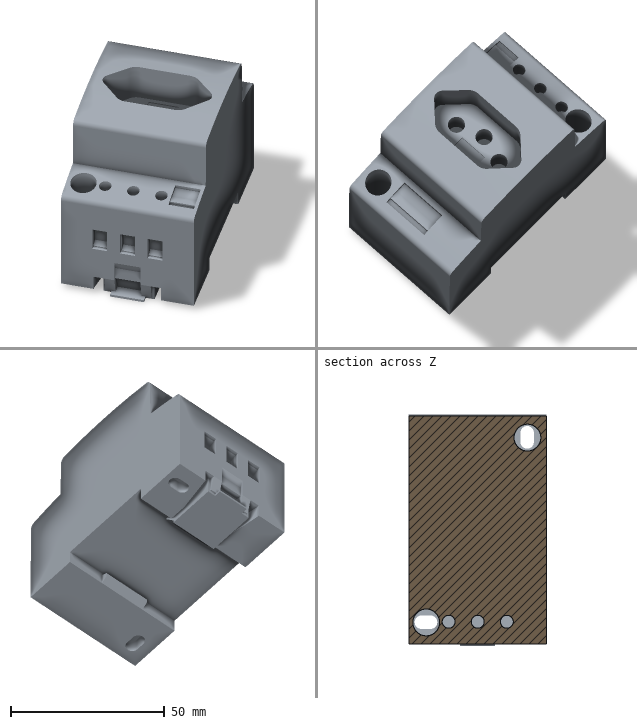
import cadquery as cq
import math


WIDTH = 45.0
FRONT_Y = -37.4
REAR_TOP_Y = 37.4
REAR_FOOT_Y = 37.6
TOWER_BASE_Y = 22.6
TOWER_TOP_Y = 22.3
TOP_Z = 57.6
SHOULDER_CROWN_Z = 40.4
CROWN_RADIUS = 166.05
EDGE_FILLET = 2.05

RECESS_HALF_LENGTH = 17.8
RECESS_HEIGHT = 5.05

SOCKET_HALF_LENGTH_Y = 9.3
SOCKET_SHARP_HALF_X = 19.6
SOCKET_FLOOR_Z = 44.7
SOCKET_SIDE_FILLET = 4.45
SOCKET_TIP_FILLET = 2.8
PIN_PITCH = 9.5
PIN_RADIUS = 2.8
PIN_DEPTH = 9.05
EARTH_OFFSET_Y = -3.0
SHUTTER_X = 10.2
SHUTTER_Y = 5.9
SHUTTER_CENTER_Y = 4.9
SHUTTER_DEPTH = 0.4

SCREW_Y = -30.0
SCREW_RADIUS = 2.05
SCREW_HEAD_Z = 28.7
DRIVER_SLOT_WIDTH = 0.6
DRIVER_SLOT_DEPTH = 0.75
WINDOW_PITCH = 9.35
WINDOW_WIDTH = 5.0
WINDOW_BOTTOM_Z = 16.7
WINDOW_TOP_Z = 24.7
WINDOW_LIP_DEPTH = 1.2
WINDOW_STEP = 0.4
WINDOW_TAPER_DEPTH = 2.0
WINDOW_TAPER_RISE = 1.0
MIDDLE_FUNNEL_WIDTH = 4.5

MOUNT_Y = 30.2
FRONT_MOUNT_X = -16.8
REAR_MOUNT_X = 16.2
MOUNT_WELL_RADIUS = 4.3
MOUNT_SLOT_LENGTH = 7.4
MOUNT_SLOT_WIDTH = 4.4

LABEL_INNER_Y = 24.6
LABEL_BEND_Y = 28.3
LABEL_EDGE_Y = 31.25
LABEL_GROOVE_Y = 32.7
LABEL_OUTER_Y = 33.2
LABEL_DEPTH = 1.1
LABEL_EDGE_DEPTH = 0.6
GROOVE_DEPTH = 1.5
GROOVE_LIP_RISE = 0.3
FRONT_LABEL_X = (12.75, 21.35)
REAR_LABEL_X = (-7.1, 9.7)

CHANNEL_MOUTH_WIDTH = 22.8
CHANNEL_WIDTH = 18.9
CHANNEL_MOUTH_DEPTH = 0.9
CHANNEL_TAPER_DEPTH = 12.1
CLIP_WIDTH = 17.35
CLIP_BOTTOM_Z = -1.6
CLIP_FRONT_Y = -35.5
CLIP_REAR_Y = -18.0
HOOK_ROOT_Y = -16.75
HOOK_TIP_Y = -14.5
HOOK_ROOT_BOTTOM_Z = -0.5
HOOK_TIP_BOTTOM_Z = 3.25
HOOK_TIP_TOP_Z = 3.8
HOOK_ROOT_TOP_Z = 4.15
WEDGE_WIDTH = 15.7
WEDGE_FOOT_Y = -36.0
WEDGE_FOOT_Z = -0.6
TAB_WIDTH = 11.5
TAB_TIP_Y = -37.9
TAB_TOP_Z = -0.75
GRIP_WIDTH = 8.8
GRIP_TOP_Z = 12.2
GRIP_BEND_Z = 9.5
GRIP_BOTTOM_Z = 5.3
GRIP_DEPTH = 0.9
GRIP_UNDERCUT_DEPTH = 2.7
GRIP_FOOT_DEPTH = 4.1

REAR_HOOK_TIP_Y = 15.6
REAR_HOOK_TIP_BOTTOM_Z = 1.6
REAR_HOOK_TIP_TOP_Z = 3.2
REAR_HOOK_TOP_Z = 4.1

CLEARANCE = 3.8


def crown_z(crown, y):
    """Height at y of a cylinder crown whose summit is at y = 0."""
    return crown - CROWN_RADIUS + math.sqrt(CROWN_RADIUS**2 - y**2)


def shoulder_z(y):
    """Height of the two shoulders at y."""
    return crown_z(SHOULDER_CROWN_Z, y)


def extruded_yz(points, width, center_x=0):
    """Prism along X with a straight-sided YZ section."""
    section = cq.Workplane("YZ").polyline(points).close()
    return section.extrude(width / 2, both=True).translate((center_x, 0, 0))


def block(x_size, y_range, z_range, center_x=0):
    """Rectangular block given by its Y and Z limits."""
    (y0, y1), (z0, z1) = y_range, z_range
    return extruded_yz([(y0, z0), (y1, z0), (y1, z1), (y0, z1)], x_size, center_x)


def make_housing():
    front_mid_y = -(TOWER_BASE_Y - FRONT_Y) / 2
    rear_mid_y = (TOWER_BASE_Y + REAR_TOP_Y) / 2
    front_edge = (FRONT_Y, shoulder_z(FRONT_Y))
    rear_edge = (REAR_TOP_Y, shoulder_z(REAR_TOP_Y))
    tower_edge_z = crown_z(TOP_Z, TOWER_TOP_Y)
    base_z = shoulder_z(TOWER_BASE_Y)
    body = (
        cq.Workplane("YZ")
        .moveTo(FRONT_Y, 0)
        .lineTo(*front_edge)
        .threePointArc((front_mid_y, shoulder_z(front_mid_y)), (-TOWER_BASE_Y, base_z))
        .lineTo(-TOWER_TOP_Y, tower_edge_z)
        .threePointArc((0, TOP_Z), (TOWER_TOP_Y, tower_edge_z))
        .lineTo(TOWER_BASE_Y, base_z)
        .threePointArc((rear_mid_y, shoulder_z(rear_mid_y)), rear_edge)
        .lineTo(REAR_FOOT_Y, RECESS_HEIGHT)
        .lineTo(REAR_FOOT_Y, 0)
        .lineTo(RECESS_HALF_LENGTH, 0)
        .lineTo(RECESS_HALF_LENGTH, RECESS_HEIGHT)
        .lineTo(-RECESS_HALF_LENGTH, RECESS_HEIGHT)
        .lineTo(-RECESS_HALF_LENGTH, 0)
        .close()
        .extrude(WIDTH / 2, both=True)
    )
    tower_edges = [(-TOWER_TOP_Y, tower_edge_z), (TOWER_TOP_Y, tower_edge_z)]
    for y, z in [front_edge, rear_edge] + tower_edges:
        edge = cq.selectors.NearestToPointSelector((0, y, z))
        body = body.edges(edge).fillet(EDGE_FILLET)
    return body


def make_socket_cut():
    """Six-sided plug recess with 45 degree sides, pin holes and a shutter recess."""
    flat_half_x = SOCKET_SHARP_HALF_X - SOCKET_HALF_LENGTH_Y
    half_outline = [
        (SOCKET_SHARP_HALF_X, 0),
        (flat_half_x, SOCKET_HALF_LENGTH_Y),
        (-flat_half_x, SOCKET_HALF_LENGTH_Y),
    ]
    outline = half_outline + [(-x, -y) for x, y in half_outline]
    floor = cq.Workplane("XY", origin=(0, 0, SOCKET_FLOOR_Z))
    recess = floor.polyline(outline).close().extrude(TOP_Z - SOCKET_FLOOR_Z + CLEARANCE)
    recess = recess.edges("|Z and (<X or >X)").fillet(SOCKET_TIP_FILLET)
    recess = recess.edges("|Z and (<Y or >Y)").fillet(SOCKET_SIDE_FILLET)
    pins = [(-PIN_PITCH, 0), (0, EARTH_OFFSET_Y), (PIN_PITCH, 0)]
    pin_holes = floor.pushPoints(pins).circle(PIN_RADIUS).extrude(-PIN_DEPTH)
    shutter = floor.center(0, SHUTTER_CENTER_Y).rect(SHUTTER_X, SHUTTER_Y).extrude(-SHUTTER_DEPTH)
    return recess.union(pin_holes).union(shutter)


def make_screw_cut(x):
    """Screw well with the driver slot sunk into the screw head at its bottom."""
    slot_floor_z = SCREW_HEAD_Z - DRIVER_SLOT_DEPTH
    floor = cq.Workplane("XY", origin=(x, SCREW_Y, slot_floor_z))
    well = floor.circle(SCREW_RADIUS).extrude(SHOULDER_CROWN_Z - slot_floor_z)
    for side in (-1, 1):
        inner_y = SCREW_Y + side * DRIVER_SLOT_WIDTH / 2
        outer_y = SCREW_Y + side * 2 * SCREW_RADIUS
        land = block(4 * SCREW_RADIUS, (inner_y, outer_y), (slot_floor_z, SCREW_HEAD_Z), x)
        well = well.cut(land)
    return well


def make_window_cut(x, funnel_width):
    """Wire entry: straight mouth, then a funnel that tapers to a flat back."""
    lip_y = FRONT_Y + WINDOW_LIP_DEPTH
    back_y = lip_y + WINDOW_TAPER_DEPTH
    funnel_bottom_z = WINDOW_BOTTOM_Z + WINDOW_STEP
    funnel_top_z = WINDOW_TOP_Z - WINDOW_STEP
    mouth = block(WINDOW_WIDTH, (FRONT_Y - CLEARANCE, lip_y), (WINDOW_BOTTOM_Z, WINDOW_TOP_Z), x)
    funnel = extruded_yz(
        [
            (lip_y, funnel_bottom_z),
            (back_y, funnel_bottom_z + WINDOW_TAPER_RISE),
            (back_y, funnel_top_z - WINDOW_TAPER_RISE),
            (lip_y, funnel_top_z),
        ],
        funnel_width,
        x,
    )
    return mouth.union(funnel)


def make_mount_cut(x, y, slot_angle):
    """Round well down to the recess roof level, then an elongated hole through the foot."""
    floor = cq.Workplane("XY", origin=(x, y, RECESS_HEIGHT))
    well = floor.circle(MOUNT_WELL_RADIUS).extrude(TOP_Z)
    slot = floor.slot2D(MOUNT_SLOT_LENGTH, MOUNT_SLOT_WIDTH, slot_angle).extrude(-2 * RECESS_HEIGHT)
    return well.union(slot)


def make_label_cut(x_range, side):
    """Label pocket in a shoulder, grooved along its outer edge; side is -1 front, +1 rear."""
    groove_z = shoulder_z(LABEL_EDGE_Y) - GROOVE_DEPTH
    section = [
        (LABEL_INNER_Y, shoulder_z(LABEL_INNER_Y) - LABEL_DEPTH),
        (LABEL_BEND_Y, shoulder_z(LABEL_BEND_Y) - LABEL_DEPTH),
        (LABEL_EDGE_Y, shoulder_z(LABEL_EDGE_Y) - LABEL_EDGE_DEPTH),
        (LABEL_EDGE_Y, groove_z),
        (LABEL_GROOVE_Y, groove_z),
        (LABEL_OUTER_Y, groove_z + GROOVE_LIP_RISE),
        (LABEL_OUTER_Y, SHOULDER_CROWN_Z),
        (LABEL_INNER_Y, SHOULDER_CROWN_Z),
    ]
    x0, x1 = x_range
    return extruded_yz([(side * y, z) for y, z in section], x1 - x0, (x0 + x1) / 2)


def make_channel_cut():
    """Clip channel through the front foot, narrowing behind its mouth."""
    taper_start_y = FRONT_Y + CHANNEL_MOUTH_DEPTH
    taper_end_y = taper_start_y + CHANNEL_TAPER_DEPTH
    half_outline = [
        (CHANNEL_MOUTH_WIDTH / 2, FRONT_Y),
        (CHANNEL_MOUTH_WIDTH / 2, taper_start_y),
        (CHANNEL_WIDTH / 2, taper_end_y),
        (CHANNEL_WIDTH / 2, -RECESS_HALF_LENGTH),
    ]
    outline = half_outline + [(-x, y) for x, y in reversed(half_outline)]
    return cq.Workplane("XY").polyline(outline).close().extrude(RECESS_HEIGHT)


def make_clip():
    """Sliding clip: body with a rail hook, sloped front wedge and pull tab."""
    body = extruded_yz(
        [
            (CLIP_FRONT_Y, CLIP_BOTTOM_Z),
            (CLIP_REAR_Y, CLIP_BOTTOM_Z),
            (CLIP_REAR_Y, HOOK_ROOT_BOTTOM_Z),
            (HOOK_TIP_Y, HOOK_TIP_BOTTOM_Z),
            (HOOK_TIP_Y, HOOK_TIP_TOP_Z),
            (HOOK_ROOT_Y, HOOK_ROOT_TOP_Z),
            (HOOK_ROOT_Y, RECESS_HEIGHT),
            (CLIP_FRONT_Y, RECESS_HEIGHT),
        ],
        CLIP_WIDTH,
    )
    wedge = extruded_yz(
        [
            (CLIP_FRONT_Y, WEDGE_FOOT_Z),
            (WEDGE_FOOT_Y, WEDGE_FOOT_Z),
            (FRONT_Y, RECESS_HEIGHT),
            (CLIP_FRONT_Y, RECESS_HEIGHT),
        ],
        WEDGE_WIDTH,
    )
    tab = block(TAB_WIDTH, (TAB_TIP_Y, CLIP_FRONT_Y), (CLIP_BOTTOM_Z, TAB_TOP_Z))
    return body.union(wedge).union(tab)


def make_grip_cut():
    """Screwdriver pocket in the front wall, undercut where it runs down through the clip."""
    back_y = FRONT_Y + GRIP_DEPTH
    return extruded_yz(
        [
            (FRONT_Y, GRIP_TOP_Z),
            (back_y, GRIP_BEND_Z),
            (back_y, GRIP_BOTTOM_Z),
            (FRONT_Y + GRIP_UNDERCUT_DEPTH, GRIP_BOTTOM_Z),
            (FRONT_Y + GRIP_FOOT_DEPTH, TAB_TOP_Z),
            (FRONT_Y - CLEARANCE, TAB_TOP_Z),
            (FRONT_Y - CLEARANCE, GRIP_TOP_Z),
        ],
        GRIP_WIDTH,
    )


def make_rear_hook():
    """Fixed rail hook on the rear foot."""
    return extruded_yz(
        [
            (RECESS_HALF_LENGTH, 0),
            (REAR_HOOK_TIP_Y, REAR_HOOK_TIP_BOTTOM_Z),
            (REAR_HOOK_TIP_Y, REAR_HOOK_TIP_TOP_Z),
            (RECESS_HALF_LENGTH, REAR_HOOK_TOP_Z),
        ],
        CLIP_WIDTH,
    )


housing = make_housing().cut(make_socket_cut())

for column in (-1, 0, 1):
    funnel_width = MIDDLE_FUNNEL_WIDTH if column == 0 else WINDOW_WIDTH
    housing = housing.cut(make_screw_cut(column * PIN_PITCH))
    housing = housing.cut(make_window_cut(column * WINDOW_PITCH, funnel_width))

housing = housing.cut(make_mount_cut(FRONT_MOUNT_X, -MOUNT_Y, 0))
housing = housing.cut(make_mount_cut(REAR_MOUNT_X, MOUNT_Y, 90))
housing = housing.cut(make_label_cut(FRONT_LABEL_X, -1))
housing = housing.cut(make_label_cut(REAR_LABEL_X, 1))
housing = housing.cut(make_channel_cut())

result = housing.union(make_clip()).cut(make_grip_cut()).union(make_rear_hook())